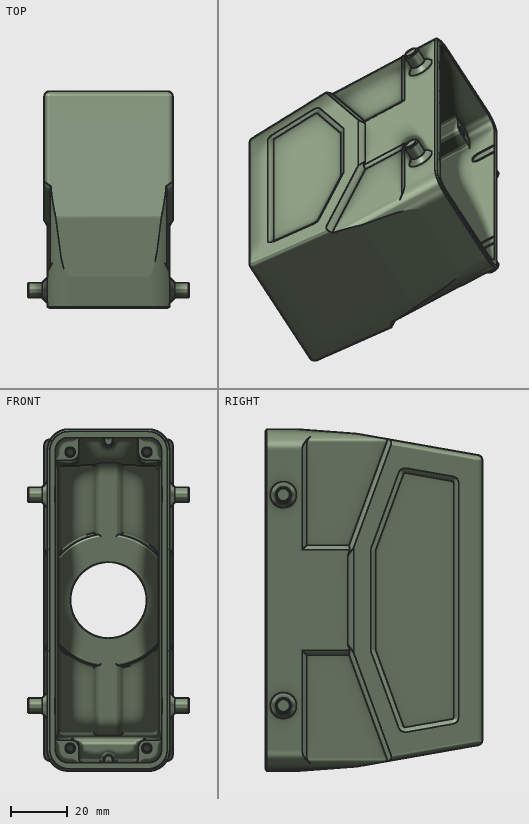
import cadquery as cq
import math

DEPTH = 76.4
HALF_HEIGHT = 60.2
PIN_HALF_SPAN = 28.5
SIDES = (-1, 1)

OVERSIZE = 10.0
PICK = 0.1
STEP_BURIAL = 0.02

BODY_HALF_WIDTH = 21.5
BODY_CORNER_RADIUS = 7.5
STRAIGHT_DEPTH = 11.2
BREAK_DEPTH = 32.1
FRONT_SLOPE = 4.3
BACK_SLOPE = 10.0
BREAK_RADIUS = 8.0
OUTER_EDGE_RADIUS = 2.0
RIM_CHAMFER_WIDTH = 0.85
RIM_CHAMFER_DEPTH = 0.45

BAND_HALF_WIDTH = 22.7
BAND_FRONT_DEPTH = 31.0
BAND_CORNER_Z = 18.4
BAND_EDGE_ANGLE = 20.0
BAND_SLANT_WALL_ANGLE = 39.0
BAND_ROOT_HALF_WIDTH = 16.5
SIDE_WALL_ANGLE = 60.0

PANEL_HALF_WIDTH = 20.5
PANEL_FRONT_DEPTH = 14.6
PANEL_END_Z = 19.4
PANEL_EDGE_RADIUS = 3.0

PLATE_BACK_DEPTH = 68.0
PLATE_FRONT_DEPTH = 37.0
PLATE_CORNER_Z = 17.7
PLATE_BACK_Z = 43.2
PLATE_CORNER_RADIUS = 2.5
PLATE_RECESS = 1.0

MOUTH_HALF_WIDTH = 18.7
MOUTH_HALF_HEIGHT = 57.2
MOUTH_CORNER_RADIUS = 4.6
MOUTH_DEPTH = 10.0
CHAMBER_HALF_HEIGHT = 49.3
CHAMBER_SIDE_DRAFT = 1.15
CHAMBER_END_DRAFT = 1.6
CHAMBER_CORNER_RADIUS = 1.5
BACK_WALL = 3.0
FLOOR_RADIUS = 1.0

CHANNEL_HALF_WIDTH = 10.5
CHANNEL_SLOPE_DEPTH = 20.0
CHANNEL_LEDGE_DEPTH = 29.0
CHANNEL_RADIUS = 1.5
POST_CORNER_RADIUS = 2.4

ENTRY_DIAMETER = 26.7
FLOOR_STEP = 2.8
FLOOR_RIB_WALL_ANGLE = 33.0
FLOOR_DISC_WALL_ANGLE = 5.0
FLOOR_DISC_RADIUS = 23.3
FLOOR_RIB_HALF_WIDTH = 3.0
STEP_RADIUS = 1.0

SCREW_X = 13.5
SCREW_Z = 52.1
SCREW_MOUTH_DIAMETER = 3.5
SCREW_END_DIAMETER = 2.7
SCREW_DEPTH = 12.0
END_RIB_Z = 56.0
END_RIB_RADIUS = 1.35
END_RIB_DRAFT = 1.5
END_RIB_FOOT_RADIUS = 1.0
END_RIB_REACH = 5.0

PIN_RADIUS = 2.7
PIN_DEPTH = 6.3
PIN_Z = 37.1
PIN_CHAMFER = 0.5
PIN_FOOT_RADIUS = 4.6
PIN_ROOT_HALF_SPAN = 20.0
PIN_GROOVE_DEPTH = 0.3


def tan(degrees):
    return math.tan(math.radians(degrees))


def sin(degrees):
    return math.sin(math.radians(degrees))


def cos(degrees):
    return math.cos(math.radians(degrees))


BREAK_HALF_HEIGHT = HALF_HEIGHT - (BREAK_DEPTH - STRAIGHT_DEPTH) * tan(FRONT_SLOPE)
BACK_HALF_HEIGHT = BREAK_HALF_HEIGHT - (DEPTH - BREAK_DEPTH) * tan(BACK_SLOPE)
FLOOR_DEPTH = DEPTH - BACK_WALL


def at_x(x):
    """Workplane on X = x whose local axes are depth and Z, facing +X."""
    return cq.Workplane("YZ", origin=(x, 0, 0))


def at_depth(depth):
    """Workplane across Y whose local axes are X and Z; a negative extrusion goes deeper."""
    return cq.Workplane("XZ", origin=(0, depth, 0))


def mirrored_outline(upper):
    """Upper half of an outline in (depth, z), completed by its reflection in Z = 0."""
    return upper + [(depth, -z) for depth, z in reversed(upper)]


def both_sides(shape):
    """A shape together with its reflection in X = 0."""
    return shape.union(shape.mirror("YZ"))


def between(low, high):
    """Selector for what is centred inside the box between two corners."""
    return cq.selectors.BoxSelector(low, high)


def outline_prism():
    """Side outline at full band width, with rounded slope breaks and back edges."""
    tangent = BREAK_RADIUS * tan((BACK_SLOPE - FRONT_SLOPE) / 2)
    before = (-tangent * cos(FRONT_SLOPE), tangent * sin(FRONT_SLOPE))
    after = (tangent * cos(BACK_SLOPE), -tangent * sin(BACK_SLOPE))
    arc_start = (BREAK_DEPTH + before[0], BREAK_HALF_HEIGHT + before[1])
    arc_end = (BREAK_DEPTH + after[0], BREAK_HALF_HEIGHT + after[1])
    outline = at_x(-BAND_HALF_WIDTH).moveTo(0, -HALF_HEIGHT).lineTo(0, HALF_HEIGHT)
    outline = outline.lineTo(STRAIGHT_DEPTH, HALF_HEIGHT).lineTo(*arc_start).radiusArc(arc_end, BREAK_RADIUS)
    outline = outline.lineTo(DEPTH, BACK_HALF_HEIGHT).lineTo(DEPTH, -BACK_HALF_HEIGHT)
    outline = outline.lineTo(arc_end[0], -arc_end[1]).radiusArc((arc_start[0], -arc_start[1]), BREAK_RADIUS)
    outline = outline.lineTo(STRAIGHT_DEPTH, -HALF_HEIGHT).close()
    prism = outline.extrude(2 * BAND_HALF_WIDTH)
    behind_break = between(
        (-BAND_HALF_WIDTH - PICK, BREAK_DEPTH + OVERSIZE, -HALF_HEIGHT),
        (BAND_HALF_WIDTH + PICK, DEPTH + PICK, HALF_HEIGHT),
    )
    return prism.edges(behind_break).fillet(OUTER_EDGE_RADIUS)


def band():
    """Raised band on the +X side, flaring outward toward its root."""

    def section(half_width):
        drop = BAND_HALF_WIDTH - half_width
        front = BAND_FRONT_DEPTH - drop * tan(SIDE_WALL_ANGLE)
        slant_shift = drop * tan(BAND_SLANT_WALL_ANGLE) / cos(BAND_EDGE_ANGLE)
        end_z = HALF_HEIGHT + OVERSIZE

        def slant_depth(z):
            return BAND_FRONT_DEPTH - slant_shift + (z - BAND_CORNER_Z) * tan(BAND_EDGE_ANGLE)

        corner_z = BAND_CORNER_Z + (front - slant_depth(BAND_CORNER_Z)) / tan(BAND_EDGE_ANGLE)
        upper = [(front, corner_z), (slant_depth(end_z), end_z), (DEPTH + OVERSIZE, end_z)]
        return mirrored_outline(upper)

    shape = at_x(BAND_ROOT_HALF_WIDTH).polyline(section(BAND_ROOT_HALF_WIDTH)).close()
    shape = shape.workplane(offset=BAND_HALF_WIDTH - BAND_ROOT_HALF_WIDTH)
    return shape.polyline(section(BAND_HALF_WIDTH)).close().loft(ruled=True)


def panel_cut(side):
    """Space above one sunken panel on the +X side; it widens outward along its two walls."""

    def section(half_width):
        run = (half_width - PANEL_HALF_WIDTH) * tan(SIDE_WALL_ANGLE)
        front = PANEL_FRONT_DEPTH - run
        inner_z = side * (PANEL_END_Z - run)
        outer_z = side * (HALF_HEIGHT + OVERSIZE)
        back = DEPTH + OVERSIZE
        return [(front, inner_z), (back, inner_z), (back, outer_z), (front, outer_z)]

    shape = at_x(PANEL_HALF_WIDTH).polyline(section(PANEL_HALF_WIDTH)).close()
    shape = shape.workplane(offset=BAND_HALF_WIDTH - PANEL_HALF_WIDTH)
    return shape.polyline(section(BAND_HALF_WIDTH)).close().loft(ruled=True)


def rounded_prism(half_width, half_height, radius, length):
    """Rounded rectangle in X and Z, running from the mouth to a depth of `length`."""
    prism = at_depth(0).rect(2 * half_width, 2 * half_height).extrude(-length)
    return prism.edges("|Y").fillet(radius)


def lower_body():
    """Rounded box with its rim chamfer and four sunken panels."""
    body = rounded_prism(BODY_HALF_WIDTH, HALF_HEIGHT, BODY_CORNER_RADIUS, DEPTH)
    body = body.faces("<Y").edges().chamfer(RIM_CHAMFER_DEPTH, RIM_CHAMFER_WIDTH)
    for side in SIDES:
        body = body.cut(both_sides(panel_cut(side)))
    corner_x = BODY_HALF_WIDTH - BODY_CORNER_RADIUS
    edge_rise = math.sqrt(BODY_CORNER_RADIUS**2 - (PANEL_HALF_WIDTH - corner_x) ** 2)
    edge_z = HALF_HEIGHT - BODY_CORNER_RADIUS + edge_rise
    for x in (-PANEL_HALF_WIDTH, PANEL_HALF_WIDTH):
        for z in (-edge_z, edge_z):
            edge = between((x - PICK, PANEL_FRONT_DEPTH, z - PICK), (x + PICK, DEPTH, z + PICK))
            body = body.edges(edge).fillet(PANEL_EDGE_RADIUS)
    return body


def plate_cut():
    """Recess in the +X band: a plate outline whose walls slope inward."""
    slant_run = 1 / tan(BAND_EDGE_ANGLE)
    top_slope = tan(BACK_SLOPE)
    gap = PLATE_BACK_Z - PLATE_CORNER_Z + (PLATE_BACK_DEPTH - PLATE_FRONT_DEPTH) * top_slope
    tip_run = gap / (slant_run + top_slope)
    tip = (PLATE_FRONT_DEPTH + tip_run, PLATE_CORNER_Z + tip_run * slant_run)
    upper = [(PLATE_FRONT_DEPTH, PLATE_CORNER_Z), tip, (PLATE_BACK_DEPTH, PLATE_BACK_Z)]
    outline = mirrored_outline(upper)
    sketch = cq.Sketch().polygon(outline + outline[:1])
    sketch = sketch.vertices(">X or <Y or >Y").fillet(PLATE_CORNER_RADIUS)
    return at_x(BAND_HALF_WIDTH).placeSketch(sketch).extrude(-PLATE_RECESS, taper=SIDE_WALL_ANGLE)


def chamber():
    """Drafted main room between the screw posts of both ends, as deep as the floor."""
    length = FLOOR_DEPTH - MOUTH_DEPTH
    floor_half_width = MOUTH_HALF_WIDTH - length * tan(CHAMBER_SIDE_DRAFT)
    floor_half_height = CHAMBER_HALF_HEIGHT - length * tan(CHAMBER_END_DRAFT)
    room = at_depth(MOUTH_DEPTH).rect(2 * MOUTH_HALF_WIDTH, 2 * CHAMBER_HALF_HEIGHT)
    room = room.workplane(offset=-length).rect(2 * floor_half_width, 2 * floor_half_height).loft()
    return room.edges("not #Y").fillet(CHAMBER_CORNER_RADIUS)


def channel(outline):
    """Space between two posts, from its (depth, z) outline; |Z| grows toward the end wall."""
    return at_x(-CHANNEL_HALF_WIDTH).polyline(outline).close().extrude(2 * CHANNEL_HALF_WIDTH)


def upper_channel():
    """Channel at the +Z end, with a roof parallel to the sloping outside."""
    roof_end_z = MOUTH_HALF_HEIGHT - (FLOOR_DEPTH - CHANNEL_SLOPE_DEPTH) * tan(BACK_SLOPE)
    outline = [
        (0, 0),
        (0, MOUTH_HALF_HEIGHT),
        (CHANNEL_SLOPE_DEPTH, MOUTH_HALF_HEIGHT),
        (FLOOR_DEPTH, roof_end_z),
        (FLOOR_DEPTH, 0),
    ]
    shape = channel(outline)
    roof_corners = between(
        (-CHANNEL_HALF_WIDTH - PICK, PICK, CHAMBER_HALF_HEIGHT / 2),
        (CHANNEL_HALF_WIDTH + PICK, FLOOR_DEPTH - PICK, HALF_HEIGHT),
    )
    return shape.edges("not |X").edges(roof_corners).fillet(CHANNEL_RADIUS)


def lower_channel():
    """Channel at the -Z end, closed at a ledge."""
    outline = [
        (0, 0),
        (0, -MOUTH_HALF_HEIGHT),
        (CHANNEL_LEDGE_DEPTH, -MOUTH_HALF_HEIGHT),
        (CHANNEL_LEDGE_DEPTH, 0),
    ]
    shape = channel(outline)
    side_corners = shape.faces("<Z").edges("|Y").vals()
    ledge_corners = shape.faces(">Y").edges("not >Z").vals()
    corners = shape.newObject(side_corners).add(ledge_corners)
    return corners.fillet(CHANNEL_RADIUS)


def end_rib(side):
    """Drafted round rib along one end wall, starting at the post fronts."""
    end_depth = CHANNEL_LEDGE_DEPTH if side < 0 else FLOOR_DEPTH
    rib = at_depth(MOUTH_DEPTH).center(0, side * END_RIB_Z).circle(END_RIB_RADIUS)
    return rib.extrude(-(end_depth - MOUTH_DEPTH), taper=-END_RIB_DRAFT)


def step_profile(edge, wall_angle):
    """Half section in (distance, depth) of a floor step whose sharp top edge would lie at `edge`."""
    top_depth = FLOOR_DEPTH - FLOOR_STEP
    foot_depth = FLOOR_DEPTH + STEP_BURIAL
    foot = edge + (foot_depth - top_depth) * tan(wall_angle)
    tangent = STEP_RADIUS * tan((90 - wall_angle) / 2)
    run = tangent * sin(wall_angle)
    drop = tangent * cos(wall_angle)
    profile = cq.Workplane("XY").moveTo(0, top_depth).lineTo(edge - tangent, top_depth)
    profile = profile.tangentArcPoint((edge + run, top_depth + drop), relative=False)
    profile = profile.lineTo(foot - run, foot_depth - drop)
    profile = profile.tangentArcPoint((foot + tangent, foot_depth), relative=False)
    return profile.lineTo(foot + tangent, DEPTH).lineTo(0, DEPTH).close()


def floor_pad():
    """Thickened floor: a disc around the cable entry and a rib along Z."""
    disc = step_profile(FLOOR_DISC_RADIUS, FLOOR_DISC_WALL_ANGLE).revolve(360, (0, 0, 0), (0, 1, 0))
    half_rib = step_profile(FLOOR_RIB_HALF_WIDTH, FLOOR_RIB_WALL_ANGLE).extrude(HALF_HEIGHT, both=True)
    return disc.union(both_sides(half_rib))


def cavity():
    """Everything hollow inside the hood, as one solid."""
    room = chamber().union(upper_channel()).union(lower_channel())
    post_edges = []
    for x in (-CHANNEL_HALF_WIDTH, CHANNEL_HALF_WIDTH):
        for z in (-CHAMBER_HALF_HEIGHT, CHAMBER_HALF_HEIGHT):
            edge = between(
                (x - PICK, MOUTH_DEPTH, z - CHAMBER_CORNER_RADIUS),
                (x + PICK, FLOOR_DEPTH, z + CHAMBER_CORNER_RADIUS),
            )
            post_edges.extend(room.edges(edge).vals())
    room = room.newObject(post_edges).fillet(POST_CORNER_RADIUS)
    room = room.faces(">Y").edges().fillet(FLOOR_RADIUS)
    for side in SIDES:
        room = room.cut(end_rib(side))
        feet = between(
            (-CHANNEL_HALF_WIDTH / 2, MOUTH_DEPTH + PICK, side * END_RIB_Z - END_RIB_REACH),
            (CHANNEL_HALF_WIDTH / 2, FLOOR_DEPTH - OVERSIZE, side * END_RIB_Z + END_RIB_REACH),
        )
        room = room.edges(feet).fillet(END_RIB_FOOT_RADIUS)
    mouth = rounded_prism(MOUTH_HALF_WIDTH, MOUTH_HALF_HEIGHT, MOUTH_CORNER_RADIUS, MOUTH_DEPTH)
    return room.cut(floor_pad()).union(mouth)


def screw_hole(x, z):
    """Blind, slightly tapered screw hole in the front of one post."""
    hole = at_depth(MOUTH_DEPTH).center(x, z).circle(SCREW_MOUTH_DIAMETER / 2)
    return hole.workplane(offset=-SCREW_DEPTH).circle(SCREW_END_DIAMETER / 2).loft()


def pin(z):
    """Locking pin on the +X side with a chamfered tip and a 45 degree foot."""
    foot_height = PIN_FOOT_RADIUS - PIN_RADIUS
    profile = [
        (PIN_ROOT_HALF_SPAN, 0),
        (PIN_ROOT_HALF_SPAN, PIN_FOOT_RADIUS),
        (BODY_HALF_WIDTH, PIN_FOOT_RADIUS),
        (BODY_HALF_WIDTH + foot_height, PIN_RADIUS),
        (PIN_HALF_SPAN - PIN_CHAMFER, PIN_RADIUS),
        (PIN_HALF_SPAN, PIN_RADIUS - PIN_CHAMFER),
        (PIN_HALF_SPAN, 0),
    ]
    shape = cq.Workplane("XY").polyline(profile).close().revolve(360, (0, 0, 0), (1, 0, 0))
    return shape.translate((0, PIN_DEPTH, z))


def pin_groove(z):
    """Shallow round-ended groove from the mouth to the pin axis, in the +X inner wall."""
    wall = at_x(MOUTH_HALF_WIDTH - PIN_RADIUS)
    reach = PIN_RADIUS + PIN_GROOVE_DEPTH
    groove = wall.center(PIN_DEPTH, z).circle(PIN_RADIUS).extrude(reach)
    lead_in = wall.center(PIN_DEPTH / 2, z).rect(PIN_DEPTH, 2 * PIN_RADIUS).extrude(reach)
    return groove.union(lead_in)


def hood():
    """Complete hood."""
    body = outline_prism().intersect(lower_body().union(both_sides(band())))
    body = body.cut(both_sides(plate_cut())).cut(cavity())
    for side in SIDES:
        body = body.union(both_sides(pin(side * PIN_Z)))
        body = body.cut(both_sides(pin_groove(side * PIN_Z)))
        body = body.cut(both_sides(screw_hole(SCREW_X, side * SCREW_Z)))
    return body.cut(at_depth(0).circle(ENTRY_DIAMETER / 2).extrude(-DEPTH))


result = hood()